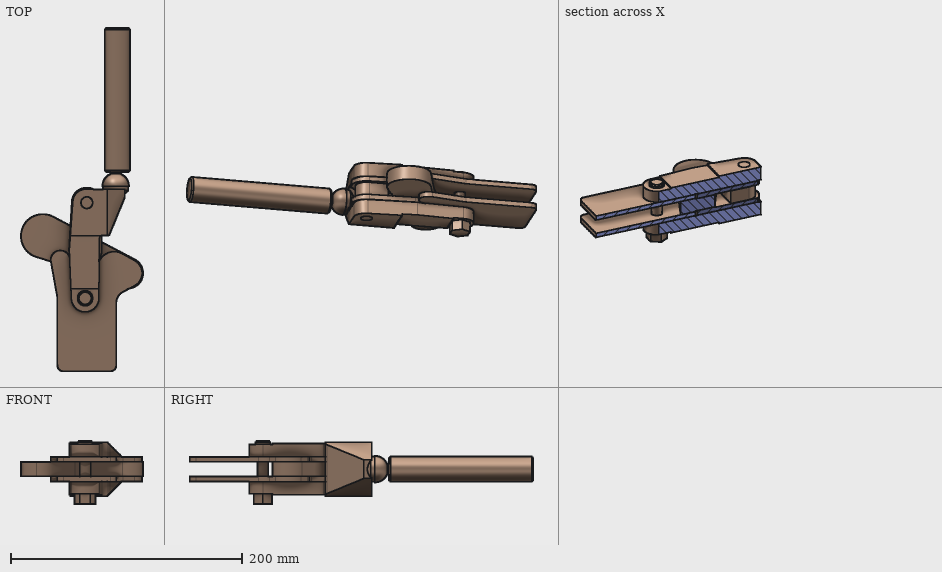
import cadquery as cq
import math


ARM_HALF = 6.2
PLATE_THICKNESS = 4.5
PLATE_OUTER = ARM_HALF + PLATE_THICKNESS
FORK_OUTER = 23.5
CHEEK_OUTER = 22.3
BOSS_OUTER = 21.5

BASE_LEFT, BASE_RIGHT, BASE_BOTTOM = -24.0, 27.0, -63.5
BASE_CORNER_RADIUS = 5.5
BASE_INNER_RADIUS = 10.7
LEFT_EDGE_KINK = (BASE_LEFT, 0.5)
TIP_CENTER, TIP_RADIUS = (-21.5, 33.0), 8.3
SHOULDER_CENTER = (25.3, 25.5)
PIVOT_CENTER, PIVOT_BUMP_RADIUS = (37.0, 21.7), 12.5
PIVOT_SLOPE = math.radians(28)
PIN_RADIUS = 5.0

LOBE_CENTER, LOBE_RADIUS = (-36.5, 53.8), 19.0
ARM_END_RADIUS = 13.5
ARM_KNEE = (-9.0, 25.3)

LINK_TOP_CENTER, LINK_TOP_RADIUS = (1.5, 82.7), 13.0
LINK_LOW_CENTER, LINK_LOW_RADIUS = (0.3, 42.0), 14.3
WEB_RADIUS = 9.8
WEB_BOTTOM = 65.5

CHEEK_HALF_WIDTH = 12.0
CHEEK_RIGHT_TOP = 12.5
CHEEK_KINK = (-13.7, 41.4)
FORK_LEFT, FORK_TOP, FORK_BOTTOM = -9.8, 94.3, 54.0
FORK_CORNER_RADIUS = 10.7
BRIDGE_LEFT = 19.0
BRIDGE_LOW_RIGHT = 20.8
BRIDGE_LOW_RADIUS = 2.0
CHEEK_INNER_RADIUS = 2.0
BRIDGE_RIGHT, BRIDGE_RIGHT_BOTTOM = 34.5, 87.5
BOSS_TOP = 8.3
BALL_X, BALL_Y, BALL_RADIUS = 26.5, 97.0, 11.5
COLLAR_BOTTOM, COLLAR_RADIUS, COLLAR_CHAMFER = 90.5, 11.0, 3.0
NECK_RADIUS = 4.5
GRIP_X, GRIP_BOTTOM, GRIP_TOP = 28.0, 109.2, 234.0
GRIP_RADIUS, GRIP_CHAMFER = 11.0, 1.5

BOLT_RADIUS = 4.8
BOLT_TOP, BOLT_BOTTOM = 24.5, -30.3
BOLT_TIP_RADIUS, BOLT_TIP_CHAMFER = 6.5, 1.2
HEX_SIDES, HEX_ACROSS_CORNERS = 6, 18.5

CLEAR = 148.7


def point_on(center, radius, angle):
    return (center[0] + radius * math.cos(angle), center[1] + radius * math.sin(angle))


def direction(start, end):
    return math.atan2(end[1] - start[1], end[0] - start[0])


def tangent(center_1, radius_1, center_2, radius_2):
    """Touch points of the straight line that runs from circle 1 to circle 2, both on its right.

    A radius of zero turns a circle into a plain point.
    """
    distance = math.dist(center_1, center_2)
    normal = direction(center_1, center_2) + math.acos((radius_1 - radius_2) / distance)
    return point_on(center_1, radius_1, normal), point_on(center_2, radius_2, normal)


def arc_middle(center, radius, start, end, turn):
    """Middle of the arc from start to end; turn is 1 counterclockwise and -1 clockwise."""
    angle = direction(center, start)
    sweep = (turn * (direction(center, end) - angle)) % (2 * math.pi)
    return point_on(center, radius, angle + turn * sweep / 2)


def slab(outline, bottom, top):
    return outline.extrude(top - bottom).translate((0, 0, bottom))


def cylinder(center, radius, bottom, top):
    return slab(cq.Workplane("XY").center(*center).circle(radius), bottom, top)


def round_corner(body, corner, radius):
    """Round the Z-parallel edge nearest to an XY point."""
    near = cq.selectors.NearestToPointSelector((corner[0], corner[1], body.val().Center().z))
    return body.edges("|Z").edges(near).fillet(radius)


def both_sides(upper):
    """The body above the middle plane together with its mirror image below."""
    return upper.union(upper.mirror("XY"))


def base_plate():
    notch_radius = math.dist(TIP_CENTER, LINK_LOW_CENTER) - TIP_RADIUS
    shoulder_radius = math.dist(SHOULDER_CENTER, LINK_LOW_CENTER) - notch_radius
    kink, tip_start = tangent(LEFT_EDGE_KINK, 0, TIP_CENTER, TIP_RADIUS)
    tip_end = point_on(TIP_CENTER, TIP_RADIUS, direction(TIP_CENTER, LINK_LOW_CENTER))
    notch_end = point_on(LINK_LOW_CENTER, notch_radius, direction(LINK_LOW_CENTER, SHOULDER_CENTER))
    shoulder_end, bump_start = tangent(
        SHOULDER_CENTER, shoulder_radius, PIVOT_CENTER, PIVOT_BUMP_RADIUS
    )
    bump_end = point_on(PIVOT_CENTER, PIVOT_BUMP_RADIUS, PIVOT_SLOPE - math.pi / 2)
    inner_corner = (
        BASE_RIGHT,
        bump_end[1] - (bump_end[0] - BASE_RIGHT) * math.tan(PIVOT_SLOPE),
    )
    outline = (
        cq.Workplane("XY")
        .moveTo(BASE_LEFT, BASE_BOTTOM)
        .lineTo(*kink)
        .lineTo(*tip_start)
        .threePointArc(arc_middle(TIP_CENTER, TIP_RADIUS, tip_start, tip_end, -1), tip_end)
        .threePointArc(
            arc_middle(LINK_LOW_CENTER, notch_radius, tip_end, notch_end, 1), notch_end
        )
        .threePointArc(
            arc_middle(SHOULDER_CENTER, shoulder_radius, notch_end, shoulder_end, -1),
            shoulder_end,
        )
        .lineTo(*bump_start)
        .threePointArc(
            arc_middle(PIVOT_CENTER, PIVOT_BUMP_RADIUS, bump_start, bump_end, -1), bump_end
        )
        .lineTo(*inner_corner)
        .lineTo(BASE_RIGHT, BASE_BOTTOM)
        .close()
    )
    plate = slab(outline, ARM_HALF, PLATE_OUTER)
    plate = round_corner(plate, inner_corner, BASE_INNER_RADIUS)
    for corner_x in (BASE_LEFT, BASE_RIGHT):
        plate = round_corner(plate, (corner_x, BASE_BOTTOM), BASE_CORNER_RADIUS)
    return plate.cut(cylinder((0, 0), BOLT_RADIUS, 0, CLEAR))


def make_base():
    """Two plates held together by the pin on which the arm turns."""
    pivot_pin = cylinder(PIVOT_CENTER, PIN_RADIUS, -PLATE_OUTER, PLATE_OUTER)
    return both_sides(base_plate()).union(pivot_pin)


def make_arm():
    top_start, top_end = tangent(LOBE_CENTER, LOBE_RADIUS, PIVOT_CENTER, ARM_END_RADIUS)
    end_bottom, knee = tangent(PIVOT_CENTER, ARM_END_RADIUS, ARM_KNEE, 0)
    knee, lobe_bottom = tangent(ARM_KNEE, 0, LOBE_CENTER, LOBE_RADIUS)
    outline = (
        cq.Workplane("XY")
        .moveTo(*top_start)
        .lineTo(*top_end)
        .threePointArc(
            arc_middle(PIVOT_CENTER, ARM_END_RADIUS, top_end, end_bottom, -1), end_bottom
        )
        .lineTo(*knee)
        .lineTo(*lobe_bottom)
        .threePointArc(arc_middle(LOBE_CENTER, LOBE_RADIUS, lobe_bottom, top_start, -1), top_start)
        .close()
    )
    pin_hole = cylinder(PIVOT_CENTER, PIN_RADIUS, -CLEAR, CLEAR)
    return slab(outline, -ARM_HALF, ARM_HALF).cut(pin_hole)


def make_links():
    """Two links joined by a web, with the pin that carries the handle fork."""
    right_top, right_low = tangent(
        LINK_TOP_CENTER, LINK_TOP_RADIUS, LINK_LOW_CENTER, LINK_LOW_RADIUS
    )
    left_low, left_top = tangent(LINK_LOW_CENTER, LINK_LOW_RADIUS, LINK_TOP_CENTER, LINK_TOP_RADIUS)
    outline = (
        cq.Workplane("XY")
        .moveTo(*right_top)
        .lineTo(*right_low)
        .threePointArc(
            arc_middle(LINK_LOW_CENTER, LINK_LOW_RADIUS, right_low, left_low, -1), left_low
        )
        .lineTo(*left_top)
        .threePointArc(
            arc_middle(LINK_TOP_CENTER, LINK_TOP_RADIUS, left_top, right_top, -1), right_top
        )
        .close()
    )
    top_x, top_y = LINK_TOP_CENTER
    web_outline = (
        cq.Workplane("XY")
        .moveTo(top_x - WEB_RADIUS, WEB_BOTTOM)
        .lineTo(top_x - WEB_RADIUS, top_y)
        .threePointArc((top_x, top_y + WEB_RADIUS), (top_x + WEB_RADIUS, top_y))
        .lineTo(top_x + WEB_RADIUS, WEB_BOTTOM)
        .close()
    )
    web = slab(web_outline, -ARM_HALF, ARM_HALF)
    pin = cylinder(LINK_TOP_CENTER, PIN_RADIUS, -FORK_OUTER, FORK_OUTER)
    return both_sides(slab(outline, ARM_HALF, PLATE_OUTER)).union(web).union(pin)


def fork():
    outline = (
        cq.Workplane("XY")
        .moveTo(CHEEK_HALF_WIDTH, 0)
        .threePointArc((0, -CHEEK_HALF_WIDTH), (-CHEEK_HALF_WIDTH, 0))
        .lineTo(*CHEEK_KINK)
        .lineTo(FORK_LEFT, FORK_TOP)
        .lineTo(BRIDGE_RIGHT, FORK_TOP)
        .lineTo(BRIDGE_RIGHT, BRIDGE_RIGHT_BOTTOM)
        .lineTo(BRIDGE_LOW_RIGHT, FORK_BOTTOM)
        .lineTo(CHEEK_RIGHT_TOP, FORK_BOTTOM)
        .close()
    )
    body = slab(outline, -FORK_OUTER, FORK_OUTER)
    body = round_corner(body, (CHEEK_RIGHT_TOP, FORK_BOTTOM), CHEEK_INNER_RADIUS)
    body = round_corner(body, (BRIDGE_LOW_RIGHT, FORK_BOTTOM), BRIDGE_LOW_RADIUS)
    body = round_corner(body, (FORK_LEFT, FORK_TOP), FORK_CORNER_RADIUS)

    slot = cq.Workplane("XY").box(CLEAR, 2 * CLEAR, 2 * PLATE_OUTER)
    body = body.cut(slot.translate((BRIDGE_LEFT - CLEAR / 2, 0, 0)))

    for top_y, outer in ((FORK_BOTTOM, CHEEK_OUTER), (BOSS_TOP, BOSS_OUTER)):
        relief = cq.Workplane("XY").box(CLEAR, CLEAR, CLEAR).translate(
            (0, top_y - CLEAR / 2, outer + CLEAR / 2)
        )
        body = body.cut(both_sides(relief))

    slope = (
        cq.Workplane("XZ")
        .polyline([
            (BRIDGE_LEFT, FORK_OUTER),
            (BRIDGE_LEFT + FORK_OUTER, 0),
            (BRIDGE_LEFT + FORK_OUTER, FORK_OUTER),
        ])
        .close()
        .extrude(-CLEAR)
    )
    return body.cut(both_sides(slope))


def rod(center_x, radius, bottom_y, top_y):
    """Round bar along Y."""
    circle = cq.Workplane("XZ", origin=(center_x, bottom_y, 0)).circle(radius)
    return circle.extrude(bottom_y - top_y)


def make_handle():
    ball = cq.Workplane("XY").sphere(BALL_RADIUS).translate((BALL_X, BALL_Y, 0))
    below_ball = cq.Workplane("XY").box(CLEAR, CLEAR, CLEAR).translate((0, BALL_Y - CLEAR / 2, 0))
    dome = ball.cut(below_ball)
    collar = rod(BALL_X, COLLAR_RADIUS, COLLAR_BOTTOM, BALL_Y).faces("<Y").chamfer(COLLAR_CHAMFER)
    neck = rod(BALL_X, NECK_RADIUS, BALL_Y, GRIP_BOTTOM)
    grip = rod(GRIP_X, GRIP_RADIUS, GRIP_BOTTOM, GRIP_TOP).faces("<Y or >Y").chamfer(GRIP_CHAMFER)
    body = fork().union(collar).union(dome).union(neck).union(grip)
    pin_hole = cylinder(LINK_TOP_CENTER, PIN_RADIUS, -CLEAR, CLEAR)
    bolt_hole = cylinder((0, 0), BOLT_RADIUS, -CLEAR, CLEAR)
    return body.cut(pin_hole).cut(bolt_hole)


def make_bolt():
    shank = cylinder((0, 0), BOLT_RADIUS, -BOSS_OUTER, BOSS_OUTER)
    head = slab(cq.Workplane("XY").polygon(HEX_SIDES, HEX_ACROSS_CORNERS), BOLT_BOTTOM, -BOSS_OUTER)
    tip = cylinder((0, 0), BOLT_TIP_RADIUS, BOSS_OUTER, BOLT_TOP)
    tip = tip.faces(">Z").chamfer(BOLT_TIP_CHAMFER)
    return shank.union(head).union(tip)


base = make_base()
arm = make_arm()
links = make_links()
handle = make_handle()
bolt = make_bolt()

result = cq.Compound.makeCompound([
    base.val(), arm.val(), links.val(), handle.val(), bolt.val(),
])